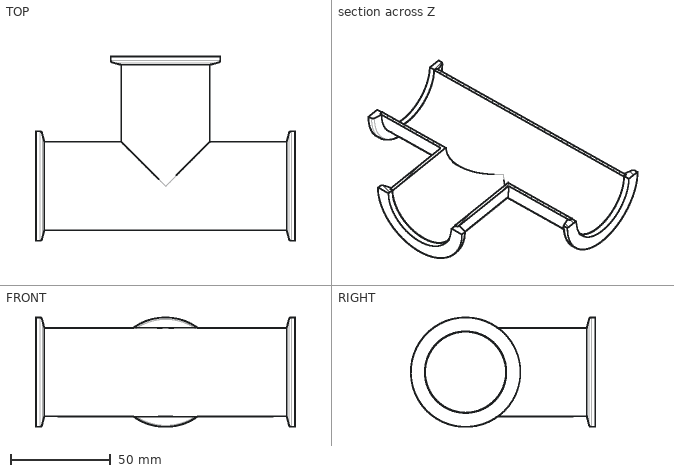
import cadquery as cq
import math

run_length = 130.0
branch_reach = 65.0
tube_diameter = 44.5
tube_bore = 40.5

flange_diameter = 55.0
flange_bore = 41.0
rim_width = 2.0
rim_fillet = 1.2
taper_angle = math.radians(15.0)
socket_depth_from_face = 3.0

tube_radius = tube_diameter / 2
tube_bore_radius = tube_bore / 2
flange_radius = flange_diameter / 2
flange_bore_radius = flange_bore / 2

fillet_turn = math.pi / 2 - taper_angle
fillet_center_radius = flange_radius - rim_fillet


def point_on_fillet(angle):
    """Radius and distance from the sealing face at an angle around the rim fillet."""
    radius = fillet_center_radius + rim_fillet * math.cos(angle)
    return (radius, rim_width + rim_fillet * math.sin(angle))


fillet_mid = point_on_fillet(fillet_turn / 2)
fillet_end = point_on_fillet(fillet_turn)
flange_length = fillet_end[1] + (fillet_end[0] - tube_radius) * math.tan(taper_angle)

ports = [
    (cq.Vector(-1, 0, 0), run_length / 2),
    (cq.Vector(1, 0, 0), run_length / 2),
    (cq.Vector(0, 1, 0), branch_reach),
]


def make_cylinders(radius):
    """Run and branch cylinders of one radius, joined, ending at the socket floors."""
    joined = None
    for direction, reach in ports:
        arm_plane = cq.Plane(origin=(0, 0, 0), xDir=(0, 0, 1), normal=direction)
        arm = cq.Workplane(arm_plane).circle(radius).extrude(reach - socket_depth_from_face)
        joined = arm if joined is None else joined.union(arm)
    return joined


def make_tee():
    """Hollow tee of equal tubes whose ends sit in the flange sockets."""
    return make_cylinders(tube_radius).cut(make_cylinders(tube_bore_radius))


def make_flange(direction, reach):
    """Flange revolved about its port axis, with a socket in its back for the tube end."""
    profile_plane = cq.Plane(
        origin=direction * reach,
        xDir=(0, 0, 1),
        normal=cq.Vector(0, 0, 1).cross(direction * -1),
    )
    return (
        cq.Workplane(profile_plane)
        .moveTo(flange_bore_radius, 0)
        .lineTo(flange_radius, 0)
        .lineTo(flange_radius, rim_width)
        .threePointArc(fillet_mid, fillet_end)
        .lineTo(tube_radius, flange_length)
        .lineTo(tube_radius, socket_depth_from_face)
        .lineTo(flange_bore_radius, socket_depth_from_face)
        .close()
        .revolve(360, (0, 0), (0, 1))
    )


tee = make_tee()
flanges = [make_flange(direction, reach) for direction, reach in ports]

result = cq.Compound.makeCompound([tee.solids().val(), *[flange.val() for flange in flanges]])